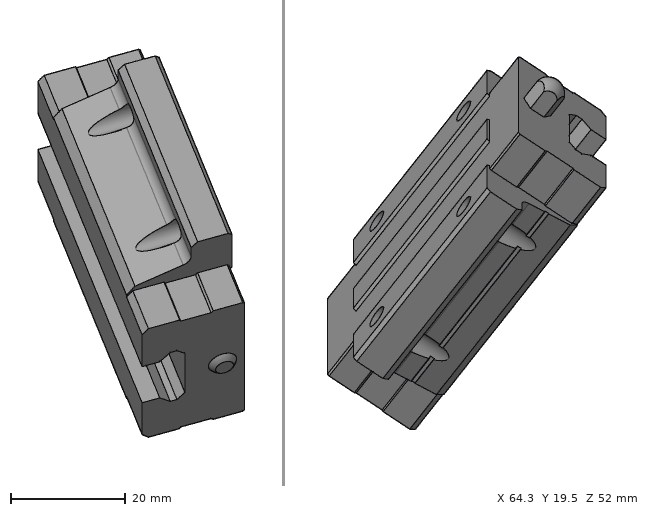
import cadquery as cq
import math


carriage_length = 40.0
body_length = 57.1
nipple_length = 6.1
screw_head_height = 1.1

total_depth = 19.5
flange_half = 26.0
flange_depth = 7.57
flange_back_chamfer = 0.75
flange_front_chamfer = 1.2
flank_root_half = 20.56
flank_end_depth = 17.93
flank_end_half = 17.75
front_face_half = 15.75
flank_fillet = 2.0

channel_depth = 0.58
channel_wall_run = 0.5
pad_half = 4.2
flange_pad_half = 15.45

groove_depth = 12.5
groove_width = 0.8
groove_floor_half = 18.85

cap_half = 16.55
cap_back_depth = channel_depth
cap_back_chamfer = 0.35
cap_front_chamfer_depth = 1.17
cap_front_chamfer_half = 1.35
cap_recess = 0.4
cap_recess_start = 6.38
cap_recess_start_run = 0.4
cap_recess_end = 12.57
cap_recess_end_run = 0.2

slot_floor_depth = 11.6
slot_floor_half = 5.97
slot_waist_half = 7.44
slot_lip_half = 5.5
slot_lip_depth = 16.25

hole_diameter = 4.13
hole_spacing_x = 26.0
hole_spacing_z = 41.0

fitting_depth = 4.65
nipple_flats = 5.0
nipple_dome_radius = 3.0
screw_head_radius = 2.6
screw_dome_radius = 2.9


def extrude_outline(points, length):
    """Extrude a (depth, z) outline symmetrically about X = 0."""
    outline = [(-depth, z) for depth, z in points]
    return cq.Workplane("YZ").polyline(outline).close().extrude(length / 2, both=True)


def mirrored(half_points):
    """Complete an outline from its +Z half."""
    return half_points + [(depth, -z) for depth, z in reversed(half_points)]


def make_carriage():
    half_outline = [
        (0, flange_half - flange_back_chamfer),
        (flange_back_chamfer, flange_half),
        (flange_depth - flange_front_chamfer, flange_half),
        (flange_depth, flange_half - flange_front_chamfer),
        (flange_depth, flank_root_half),
        (flank_end_depth, flank_end_half),
        (total_depth, front_face_half),
    ]
    carriage = extrude_outline(mirrored(half_outline), carriage_length)
    for side in (1, -1):
        root = cq.selectors.NearestToPointSelector((0, -flange_depth, side * flank_root_half))
        carriage = carriage.edges(root).fillet(flank_fillet)
    return carriage


def make_channel(side):
    return extrude_outline(
        [
            (0, side * pad_half),
            (channel_depth, side * (pad_half + channel_wall_run)),
            (channel_depth, side * (flange_pad_half - channel_wall_run)),
            (0, side * flange_pad_half),
        ],
        carriage_length,
    )


def make_flank_groove():
    """Shallow groove along the flank on the -Z side only."""
    groove_end = groove_depth + groove_width
    return extrude_outline(
        [
            (groove_depth, -groove_floor_half),
            (groove_end, -groove_floor_half),
            (groove_end, -flank_root_half),
            (groove_depth, -flank_root_half),
        ],
        carriage_length,
    )


def make_end_cap_body():
    recess_half = cap_half - cap_recess
    half_outline = [
        (cap_back_depth, cap_half - cap_back_chamfer),
        (cap_back_depth + cap_back_chamfer, cap_half),
        (cap_recess_start, cap_half),
        (cap_recess_start + cap_recess_start_run, recess_half),
        (cap_recess_end - cap_recess_end_run, recess_half),
        (cap_recess_end, cap_half),
        (total_depth - cap_front_chamfer_depth, cap_half),
        (total_depth, cap_half - cap_front_chamfer_half),
    ]
    caps = extrude_outline(mirrored(half_outline), body_length)
    carriage_space = cq.Workplane("XY").box(carriage_length, 2 * total_depth, 2 * flange_half)
    carriage_space = carriage_space.translate((0, -total_depth / 2, 0))
    return caps.cut(carriage_space)


def make_rail_slot():
    waist_rise = slot_waist_half - slot_floor_half
    lip_rise = slot_waist_half - slot_lip_half
    half_outline = [
        (slot_floor_depth, slot_floor_half),
        (slot_floor_depth + waist_rise, slot_waist_half),
        (slot_lip_depth - lip_rise, slot_waist_half),
        (slot_lip_depth, slot_lip_half),
        (total_depth, slot_lip_half),
    ]
    return extrude_outline(mirrored(half_outline), body_length)


def make_mounting_holes():
    return (
        cq.Workplane("XZ")
        .rarray(hole_spacing_x, hole_spacing_z, 2, 2)
        .circle(hole_diameter / 2)
        .extrude(total_depth)
    )


def make_grease_nipple():
    """Hexagonal stem with a spherical end and two corners pointing along Y."""
    tip_x = -body_length / 2 - nipple_length
    hexagon_corners = nipple_flats / math.cos(math.pi / 6)
    stem = (
        cq.Workplane("YZ", origin=(tip_x, -fitting_depth, 0))
        .polygon(6, hexagon_corners)
        .extrude(nipple_length)
    )
    dome_rim_x = tip_x + nipple_dome_radius
    arc_run = nipple_dome_radius * math.cos(math.pi / 4)
    envelope = (
        cq.Workplane("XY", origin=(0, -fitting_depth, 0))
        .moveTo(tip_x, 0)
        .threePointArc((dome_rim_x - arc_run, arc_run), (dome_rim_x, nipple_dome_radius))
        .lineTo(-body_length / 2, nipple_dome_radius)
        .lineTo(-body_length / 2, 0)
        .close()
        .revolve(360, (0, 0, 0), (1, 0, 0))
    )
    return stem.intersect(envelope)


def make_screw_head():
    """Flat-topped spherical zone on the +X end face."""
    face_x = body_length / 2
    center_offset = math.sqrt(screw_dome_radius**2 - screw_head_radius**2)

    def zone_radius(height):
        return math.sqrt(screw_dome_radius**2 - (center_offset + height) ** 2)

    middle_height = screw_head_height / 2
    return (
        cq.Workplane("XY", origin=(0, -fitting_depth, 0))
        .moveTo(face_x, 0)
        .lineTo(face_x, screw_head_radius)
        .threePointArc(
            (face_x + middle_height, zone_radius(middle_height)),
            (face_x + screw_head_height, zone_radius(screw_head_height)),
        )
        .lineTo(face_x + screw_head_height, 0)
        .close()
        .revolve(360, (0, 0, 0), (1, 0, 0))
    )


carriage = make_carriage().cut(make_flank_groove()).cut(make_mounting_holes())
for side in (1, -1):
    carriage = carriage.cut(make_channel(side))

body = carriage.union(make_end_cap_body()).cut(make_rail_slot())
result = body.union(make_grease_nipple()).union(make_screw_head())